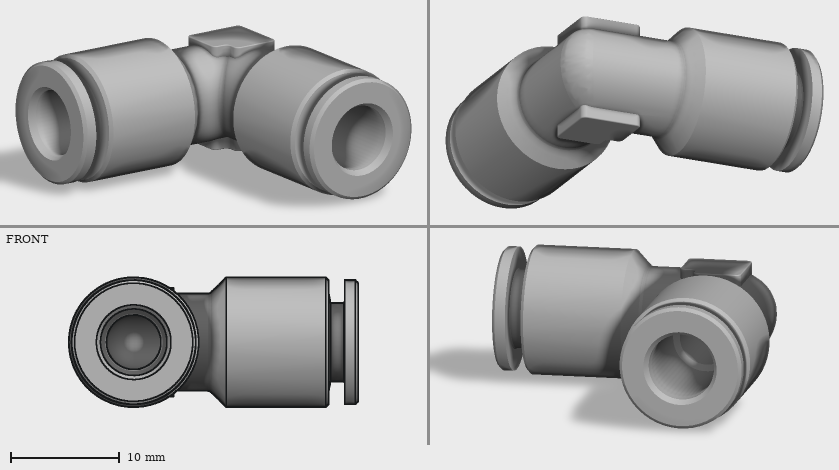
import cadquery as cq
import math


overall_length = 26.7
body_radius = 12.0 / 2
reach = overall_length - body_radius

neck_radius = 9.0 / 2
outer_corner_fillet = 2.25
inner_corner_fillet = 0.3

cone_start = 7.02
cone_end = cone_start + body_radius - neck_radius
neck_fillet = 0.4
body_end = reach - 2.72
body_chamfer = 0.3
lip_radius = 4.5
lip_height = 0.15

collar_radius = 3.63
ring_radius = 5.75
ring_thickness = 1.25
ring_chamfer = 0.3
ring_start = reach - ring_thickness
collar_flare = 0.1

bore_radius = 2.5
socket_radius = 3.07
mouth_radius = 3.45
mouth_depth = 0.65
socket_bottom = cone_end
bore_cone_length = 0.32
bore_cone_start = socket_bottom - bore_cone_length

pad_height = 10.0
pad_size = 5.98
pad_overhang = 2.27
pad_notch = 1.5
pad_corner_radius = 0.5
pad_edge_fillet = 0.1


def as_second_arm(arm):
    """Give a solid built around +X half a turn about the line y = -x, so that it lies around -Y."""
    return arm.rotate((0, 0, 0), (1, -1, 0), 180)


def make_elbow():
    """Two round pipes meeting in a mitre on the plane y = -x."""
    half_section = cq.Workplane("XZ").moveTo(-neck_radius, 0).lineTo(-neck_radius, neck_radius)
    half_section = half_section.lineTo(cone_start, neck_radius).lineTo(cone_start, 0).close()
    pipe = half_section.revolve(360, (0, 0, 0), (1, 0, 0))
    mitred_outline = [
        (-neck_radius, neck_radius),
        (cone_start, neck_radius),
        (cone_start, -neck_radius),
        (neck_radius, -neck_radius),
    ]
    mitred_block = cq.Workplane("XY").polyline(mitred_outline).close().extrude(neck_radius, both=True)
    pipe = pipe.intersect(mitred_block)
    return pipe.union(as_second_arm(pipe))


def make_pads():
    """A notched square slab through the elbow; its two ends form the pads."""
    near = -pad_overhang
    far = near + pad_size
    notch = far - pad_notch
    outline = [(near, -near), (far, -near), (far, -notch), (notch, -notch), (notch, -far), (near, -far)]
    slab = cq.Workplane("XY").polyline(outline).close().extrude(pad_height / 2, both=True)
    slab = slab.edges("|Z").fillet(pad_corner_radius)
    return slab.faces("|Z").edges().fillet(pad_edge_fillet)


def make_arm_shell():
    """Shoulder, body, collar and release ring, revolved around X."""
    profile = (
        cq.Workplane("XY")
        .moveTo(cone_start, 0)
        .lineTo(cone_start, neck_radius)
        .lineTo(cone_end, body_radius)
        .lineTo(body_end - body_chamfer, body_radius)
        .lineTo(body_end, body_radius - body_chamfer)
        .lineTo(body_end, lip_radius)
        .lineTo(body_end + lip_height, collar_radius)
        .lineTo(ring_start - collar_flare, collar_radius)
        .lineTo(ring_start, collar_radius + collar_flare)
        .lineTo(ring_start, ring_radius)
        .lineTo(reach - ring_chamfer, ring_radius)
        .lineTo(reach, ring_radius - ring_chamfer)
        .lineTo(reach, 0)
        .close()
    )
    return profile.revolve(360, (0, 0, 0), (1, 0, 0))


def make_arm_bore():
    """Stepped tube socket around X, ending in a ball at the axis crossing."""
    profile = (
        cq.Workplane("XY")
        .moveTo(-bore_radius, 0)
        .threePointArc((-bore_radius * math.sqrt(0.5), bore_radius * math.sqrt(0.5)), (0, bore_radius))
        .lineTo(bore_cone_start, bore_radius)
        .lineTo(socket_bottom, socket_radius)
        .lineTo(reach - mouth_depth, socket_radius)
        .lineTo(reach, mouth_radius)
        .lineTo(reach, 0)
        .close()
    )
    return profile.revolve(360, (0, 0, 0), (1, 0, 0))


elbow = make_elbow().union(make_pads())
elbow = elbow.edges("%ELLIPSE").edges(">X").fillet(inner_corner_fillet)
elbow = elbow.edges("%ELLIPSE").edges("<X").fillet(outer_corner_fillet)

shell = make_arm_shell()
bore = make_arm_bore()
fitting = elbow.union(shell).union(as_second_arm(shell))

for joint_center in [(cone_start, 0, 0), (0, -cone_start, 0)]:
    joint = cq.selectors.NearestToPointSelector(joint_center)
    fitting = fitting.edges("%CIRCLE").edges(joint).fillet(neck_fillet)

result = fitting.cut(bore).cut(as_second_arm(bore))